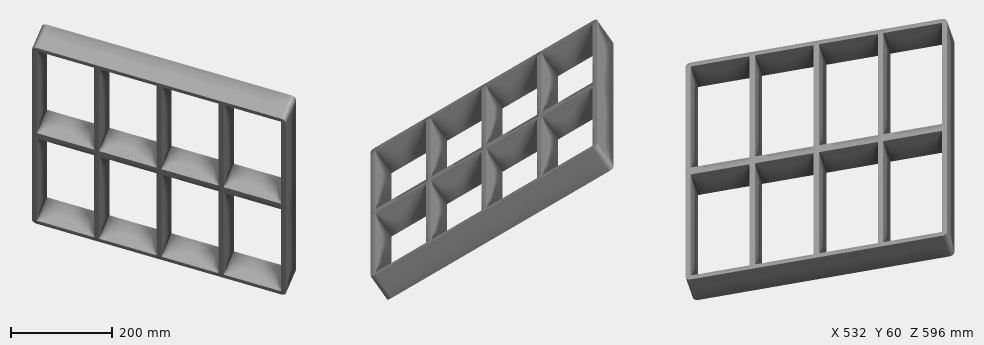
import cadquery as cq

width = 532.0
depth = 60.0
height = 596.0
corner_radius = 11.0

wall = 11.0
middle_bar = 19.0
columns = 4
rows = 2

opening_width = (width - (columns + 1) * wall) / columns
opening_height = (height - 2 * wall - (rows - 1) * middle_bar) / rows

frame = cq.Workplane("XY").box(width, depth, height)
frame = frame.edges("|Y").fillet(corner_radius)

openings = (
    cq.Workplane("XZ")
    .rarray(opening_width + wall, opening_height + middle_bar, columns, rows)
    .rect(opening_width, opening_height)
    .extrude(depth, both=True)
)

result = frame.cut(openings)